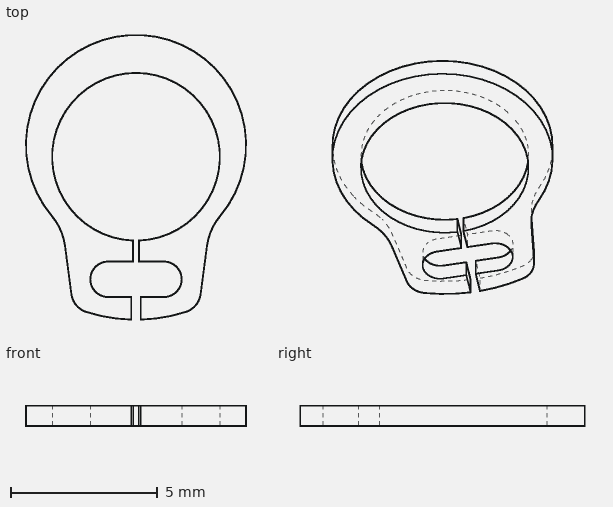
import cadquery as cq
import math

thickness = 0.7
bore_radius = 2.85
body_radius = 3.75
body_offset = 0.4

lug_tip_radius = 5.55
lug_taper_deg = 7.5
lug_corner_radius = 0.75
neck_radius = 2.0

slot_length = 3.1
slot_width = 1.2
slot_y = -4.17
lug_half_width = 2.27

inner_gap = 0.2
outer_gap = 0.32


def disc(radius, center_y=0):
    return cq.Workplane("XY").center(0, center_y).circle(radius).extrude(thickness)


def flank_x(y):
    """Half-width of the lug at height y."""
    return lug_half_width + (y - slot_y) * math.tan(math.radians(lug_taper_deg))


def make_lug():
    """Tapered lug with an arc-shaped, round-cornered tip."""
    top_y = body_offset
    bottom_y = -lug_tip_radius
    corners = [
        (-flank_x(top_y), top_y),
        (flank_x(top_y), top_y),
        (flank_x(bottom_y), bottom_y),
        (-flank_x(bottom_y), bottom_y),
    ]
    wedge = cq.Workplane("XY").polyline(corners).close().extrude(thickness)
    lug = wedge.intersect(disc(lug_tip_radius))
    return lug.edges("|Z").edges("<Y").fillet(lug_corner_radius)


def make_blank():
    """Body and lug joined by concave neck blends."""
    blank = disc(body_radius, body_offset).union(make_lug())
    return blank.edges("|Z").edges(">Y").fillet(neck_radius)


def make_slot():
    return cq.Workplane("XY").center(0, slot_y).slot2D(slot_length, slot_width).extrude(thickness)


def make_gap(width, start_y, end_y):
    """Straight cut on the Y axis running from start_y down to end_y."""
    length = start_y - end_y
    center_y = (start_y + end_y) / 2
    return cq.Workplane("XY").center(0, center_y).rect(width, length).extrude(thickness)


result = (
    make_blank()
    .cut(disc(bore_radius))
    .cut(make_slot())
    .cut(make_gap(inner_gap, 0, slot_y))
    .cut(make_gap(outer_gap, slot_y, -lug_tip_radius))
)